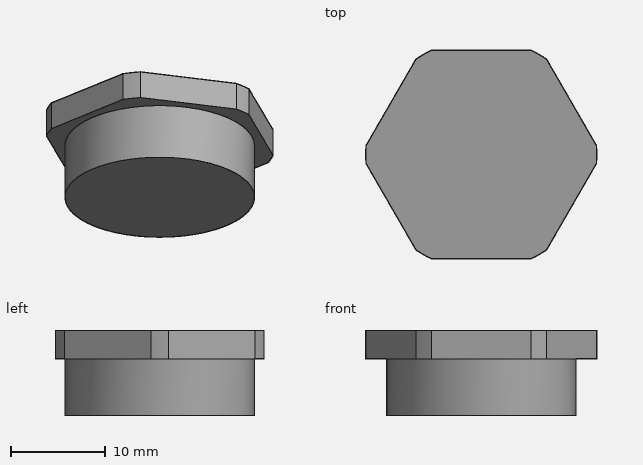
import cadquery as cq
import math

across_flats = 22.0
corner_diameter = 24.4
head_height = 3.0
plug_diameter = 20.0
plug_height = 6.0

across_corners = across_flats / math.cos(math.radians(30))


def make_head():
    """Hexagonal head with its six corners turned down to a cylinder."""
    hexagon = cq.Workplane("XY").polygon(6, across_corners).extrude(head_height)
    turned_blank = cq.Workplane("XY").circle(corner_diameter / 2).extrude(head_height)
    return hexagon.intersect(turned_blank)


def make_plug():
    """Round plug standing below the head."""
    return cq.Workplane("XY").circle(plug_diameter / 2).extrude(-plug_height)


result = make_head().union(make_plug())